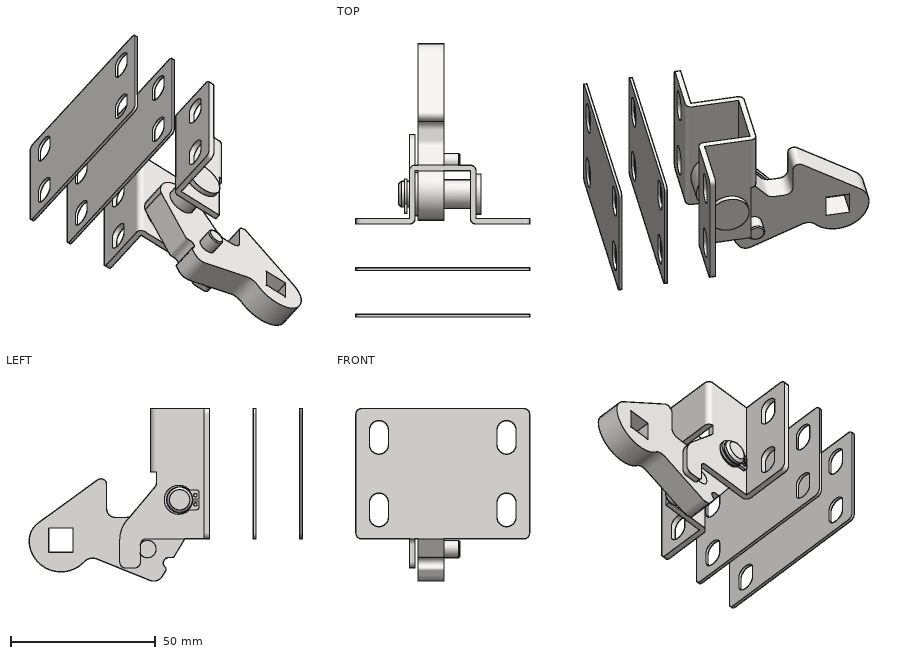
import cadquery as cq
import math


plate_width = 60.0
plate_height = 45.0
plate_corner_radius = 2.0
plate_thickness = 1.0
plate_spacing = 16.0
slot_width = 6.5
slot_length = 11.5
slot_pitch_x = 44.0
slot_pitch_z = 25.0

sheet = 2.0
bend_radius = 2.0
channel_width = 23.0
channel_depth = 20.4
leg_depth = channel_depth - bend_radius
web_bottom_z = 23.0
outer_x = channel_width / 2
inner_x = outer_x - sheet
leg_slant_top_z = 18.5
leg_slant_angle = 50.0
hook_outer_y = 31.0
hook_inner_y = 23.85
hook_bottom_z = -10.0
hook_corner_radius = 2.0
hook_shoulder_radius = 10.0

pivot = (10.35, 13.5)
pin_radius = 5.0
pin_end_radius = 4.5
pin_end_x = -15.3
pin_end_chamfer = 1.0
pin_head_radius = 7.0
pin_head_thickness = 1.75
groove_radius = 4.3

ring_thickness = 1.0
ring_left_x = -13.25
ring_outer_radius = 5.0
ring_eccentricity = 0.3
lug_end_y = 3.65
lug_half_height = 3.45
lug_corner_radius = 1.0
lug_gap = 0.7
lug_hole_radius = 0.6
lug_hole_y = 4.9
lug_hole_offset = 1.6

boss_thickness = 0.9
boss_radius = 7.5
lever_left_x = boss_thickness - inner_x
lever_thickness = 9.1
hub_radius = 9.0
end_radius = 11.0
end_center = (51.29, -0.4)
end_blend_radius = 7.8
square_hole = 8.3
back_angle = 54.0
back_offset = 9.4
jaw_y = 35.5
jaw_floor_z = 7.45
jaw_radius = 3.0
tip_radius = 2.0
elbow_angle = 40.0
elbow_radius = 3.5
belly_angle = -68.0
belly_offset = 1.42
neck_radius = 4.0
flank_angle = -149.0
flank_offset = 8.5
nose_radius = 3.5
notch_radius = 1.85
notch_center = (14.1, -8.3)
notch_lip_radius = 1.0

stop_center = (21.45, -3.5)
stop_radius = 3.0
stop_protrusion = 5.4
stop_chamfer = 0.4


def polar(center, radius, angle):
    """Point on a circle in the YZ plane, with the angle measured from +Y towards +Z."""
    turn = math.radians(angle)
    return (center[0] + radius * math.cos(turn), center[1] + radius * math.sin(turn))


def offset_line(center, normal_angle, offset):
    """Line at a distance from a point, stored as its unit normal and distance to the origin."""
    normal = polar((0, 0), 1, normal_angle)
    return normal, normal[0] * center[0] + normal[1] * center[1] + offset


def crossing(line_a, line_b):
    """Point where two lines meet."""
    (ay, az), a = line_a
    (by, bz), b = line_b
    det = ay * bz - az * by
    return ((a * bz - b * az) / det, (ay * b - by * a) / det)


def chord_half_angle(offset, radius):
    """Half the angle of the chord cut from a circle by a line at the given offset."""
    return math.degrees(math.acos(offset / radius))


def side_plane(x):
    """YZ work plane at the given X, extruding towards +X."""
    return cq.Workplane("YZ", origin=(x, 0, 0))


def disc(x, length, center, radius):
    """Cylinder along X, starting at x."""
    return side_plane(x).center(*center).circle(radius).extrude(length)


def fillet_corners(solid, x, corners):
    """Round the X-parallel edges that pass through the given (point, radius) corners."""
    for (y, z), radius in corners:
        edge = cq.selectors.NearestToPointSelector((x, y, z))
        solid = solid.edges("|X").edges(edge).fillet(radius)
    return solid


def slotted_plate(back_y, thickness):
    """Rounded plate with four upright slots, its +Y face at back_y."""
    plate = (
        cq.Workplane("XZ", origin=(0, back_y, plate_height / 2))
        .rect(plate_width, plate_height)
        .extrude(thickness)
        .edges("|Y")
        .fillet(plate_corner_radius)
    )
    slots = (
        cq.Workplane("XZ", origin=(0, back_y, plate_height / 2))
        .rarray(slot_pitch_x, slot_pitch_z, 2, 2)
        .slot2D(slot_length, slot_width, 90)
        .extrude(thickness)
    )
    return plate.cut(slots)


def bracket_leg(x, outline):
    return side_plane(x).polyline(outline).close().extrude(sheet)


def make_bracket():
    flanges = slotted_plate(sheet, sheet)
    opening = cq.Workplane("XY").rect(2 * inner_x, 2 * sheet).extrude(plate_height)
    flanges = flanges.cut(opening)

    web = (
        cq.Workplane("XY", origin=(0, 0, web_bottom_z))
        .center(0, channel_depth - sheet / 2)
        .rect(channel_width, sheet)
        .extrude(plate_height - web_bottom_z)
    )

    right_leg = bracket_leg(
        inner_x,
        [(0, 0), (leg_depth, 0), (leg_depth, plate_height), (0, plate_height)],
    )

    slant_drop = (hook_outer_y - leg_depth) * math.tan(math.radians(leg_slant_angle))
    slant_top = (leg_depth, leg_slant_top_z)
    shoulder = (hook_outer_y, leg_slant_top_z - slant_drop)
    hook_outer = (hook_outer_y, hook_bottom_z)
    hook_inner = (hook_inner_y, hook_bottom_z)
    hook_root = (hook_inner_y, 0)
    left_leg = bracket_leg(
        -outer_x,
        [(0, 0), hook_root, hook_inner, hook_outer, shoulder, slant_top,
         (leg_depth, plate_height), (0, plate_height)],
    )
    left_leg = fillet_corners(
        left_leg,
        -outer_x + sheet / 2,
        [
            (hook_root, hook_corner_radius),
            (hook_inner, hook_corner_radius),
            (hook_outer, hook_corner_radius),
            (slant_top, bend_radius),
            (shoulder, hook_shoulder_radius),
        ],
    )

    bracket = flanges.union(web).union(right_leg).union(left_leg)
    for side in (-1, 1):
        web_bend = cq.selectors.NearestToPointSelector(
            (side * outer_x, channel_depth, (web_bottom_z + plate_height) / 2))
        flange_bend = cq.selectors.NearestToPointSelector((side * inner_x, 0, plate_height / 2))
        bracket = bracket.edges("|Z").edges(web_bend).fillet(bend_radius)
        bracket = bracket.edges("|Z").edges(flange_bend).fillet(bend_radius)

    left_hole = disc(-outer_x, sheet, pivot, pin_end_radius)
    right_hole = disc(inner_x, sheet, pivot, pin_radius)
    return bracket.cut(left_hole).cut(right_hole)


def make_lever():
    back = offset_line(end_center, back_angle, back_offset)
    belly = offset_line(end_center, belly_angle, belly_offset)
    flank = offset_line(pivot, flank_angle, flank_offset)
    hub_slope = offset_line(pivot, elbow_angle, hub_radius)
    jaw_wall = offset_line((jaw_y, 0), 0, 0)
    jaw_floor = offset_line((0, jaw_floor_z), 90, 0)

    end_top_angle = back_angle - chord_half_angle(back_offset, end_radius)
    neck_angle = belly_angle - chord_half_angle(belly_offset, end_radius)
    flank_start_angle = flank_angle + 360 - chord_half_angle(flank_offset, hub_radius)

    end_top = polar(end_center, end_radius, end_top_angle)
    neck = polar(end_center, end_radius, neck_angle)
    tip = crossing(back, jaw_wall)
    jaw_corner = crossing(jaw_wall, jaw_floor)
    elbow = crossing(jaw_floor, hub_slope)
    nose = crossing(flank, belly)

    lever = (
        side_plane(lever_left_x)
        .moveTo(*neck)
        .threePointArc(polar(end_center, end_radius, (neck_angle + end_top_angle) / 2), end_top)
        .lineTo(*tip)
        .lineTo(*jaw_corner)
        .lineTo(*elbow)
        .lineTo(*polar(pivot, hub_radius, elbow_angle))
        .threePointArc(
            polar(pivot, hub_radius, (elbow_angle + flank_start_angle) / 2),
            polar(pivot, hub_radius, flank_start_angle),
        )
        .lineTo(*nose)
        .close()
        .extrude(lever_thickness)
    )

    notch = disc(lever_left_x, lever_thickness, notch_center, notch_radius)
    notch_mouth = (
        side_plane(lever_left_x)
        .moveTo(*notch_center)
        .rect(-notch_center[0], notch_radius, centered=False)
        .extrude(lever_thickness)
    )
    lever = lever.cut(notch).cut(notch_mouth)

    notch_ceiling = offset_line(notch_center, 90, notch_radius)
    depth_in_flank = flank[1] - flank[0][0] * notch_center[0] - flank[0][1] * notch_center[1]
    lower_lip_angle = flank_angle + chord_half_angle(depth_in_flank, notch_radius)
    lever = fillet_corners(
        lever,
        lever_left_x + lever_thickness / 2,
        [
            (end_top, end_blend_radius),
            (tip, tip_radius),
            (jaw_corner, jaw_radius),
            (elbow, elbow_radius),
            (neck, neck_radius),
            (nose, nose_radius),
            (crossing(flank, notch_ceiling), notch_lip_radius),
            (polar(notch_center, notch_radius, lower_lip_angle), notch_lip_radius),
        ],
    )

    boss = disc(-inner_x, boss_thickness, pivot, boss_radius)
    lever = lever.union(boss)

    square = (
        side_plane(lever_left_x).center(*end_center).rect(square_hole, square_hole)
        .extrude(lever_thickness)
    )
    pivot_bore = disc(-inner_x, boss_thickness + lever_thickness, pivot, pin_radius)
    stop_bore = disc(lever_left_x, lever_thickness, stop_center, stop_radius)
    return lever.cut(square).cut(pivot_bore).cut(stop_bore)


def make_pivot_pin():
    head = disc(outer_x, pin_head_thickness, pivot, pin_head_radius)
    body = disc(-inner_x, inner_x + outer_x, pivot, pin_radius)
    end = disc(pin_end_x, -inner_x - pin_end_x, pivot, pin_end_radius)
    end = end.faces("<X").chamfer(pin_end_chamfer)
    groove = (
        side_plane(ring_left_x).center(*pivot)
        .circle(pin_end_radius).circle(groove_radius)
        .extrude(ring_thickness)
    )
    return head.union(body).union(end).cut(groove)


def make_retaining_ring():
    ring_center = (pivot[0] + ring_eccentricity, pivot[1])
    ring = disc(ring_left_x, ring_thickness, ring_center, ring_outer_radius)
    reach = pivot[0] - lug_end_y
    lugs = (
        side_plane(ring_left_x)
        .center(lug_end_y + reach / 2, pivot[1])
        .rect(reach, 2 * lug_half_height)
        .extrude(ring_thickness)
        .edges("|X and <Y")
        .fillet(lug_corner_radius)
    )
    gap = (
        side_plane(ring_left_x)
        .center(lug_end_y + reach / 2, pivot[1])
        .rect(reach, lug_gap)
        .extrude(ring_thickness)
    )
    ring = ring.union(lugs).cut(gap)
    ring = ring.cut(disc(ring_left_x, ring_thickness, pivot, groove_radius))
    for side in (-1, 1):
        hole_center = (lug_hole_y, pivot[1] + side * lug_hole_offset)
        ring = ring.cut(disc(ring_left_x, ring_thickness, hole_center, lug_hole_radius))
    return ring


def make_stop_pin():
    pin = disc(lever_left_x, lever_thickness + stop_protrusion, stop_center, stop_radius)
    return pin.faces(">X").chamfer(stop_chamfer)


bracket = make_bracket()
lever = make_lever()
pivot_pin = make_pivot_pin()
retaining_ring = make_retaining_ring()
stop_pin = make_stop_pin()
plates = [
    slotted_plate(plate_thickness - step * plate_spacing, plate_thickness)
    for step in (1, 2)
]

result = cq.Compound.makeCompound([
    bracket.val(),
    lever.val(),
    pivot_pin.val(),
    retaining_ring.val(),
    stop_pin.val(),
    *[plate.val() for plate in plates],
])